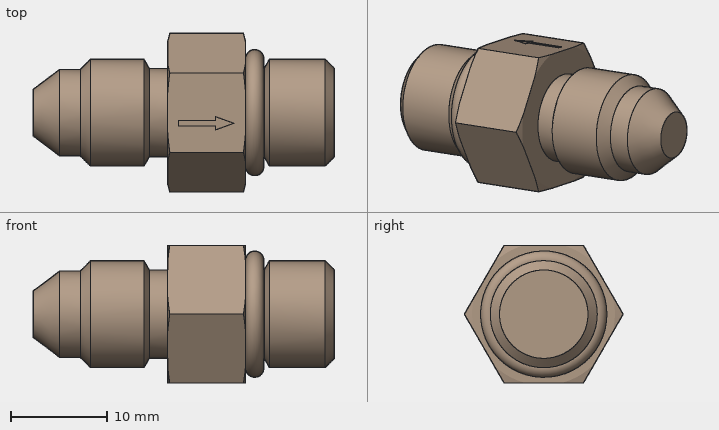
import cadquery as cq
import math


total_length = 31.24
thread_diameter = 11.1
thread_relief_angle = 60

tip_diameter = 4.82
nose_diameter = 8.99
flare_angle = 37
nose_shoulder_x = 4.9
neck_diameter = 9.17
nose_thread_end_x = 11.5

hex_start_x = 13.95
hex_end_x = 22.03
hex_width = 14.27
hex_corner_diameter = hex_width / math.cos(math.radians(30))
hex_face_diameter = 14.8
hex_chamfer_angle = 15

ring_outer_diameter = 13.1
groove_diameter = 9.3
ring_section = (ring_outer_diameter - groove_diameter) / 2

port_thread_start_x = 24.5
port_end_diameter = 9.17

arrow_start_x = hex_start_x + 1.13
arrow_y = -1.1
arrow_shaft_length = 3.85
arrow_shaft_width = 0.56
arrow_head_length = 1.88
arrow_head_width = 1.36
arrow_depth = 0.1


def run_along_axis(large_diameter, small_diameter, angle):
    """Axial length of a cone between two diameters, with its angle to the axis."""
    return (large_diameter - small_diameter) / 2 / math.tan(math.radians(angle))


def make_turned_profile():
    """Solid of revolution without the hexagon."""
    flare_end_x = run_along_axis(nose_diameter, tip_diameter, flare_angle)
    nose_thread_start_x = nose_shoulder_x + (thread_diameter - nose_diameter) / 2
    neck_start_x = nose_thread_end_x + run_along_axis(thread_diameter, neck_diameter, thread_relief_angle)
    groove_end_x = port_thread_start_x - run_along_axis(thread_diameter, groove_diameter, thread_relief_angle)
    port_chamfer = (thread_diameter - port_end_diameter) / 2
    hex_middle_x = (hex_start_x + hex_end_x) / 2

    stations = [
        (0, tip_diameter),
        (flare_end_x, nose_diameter),
        (nose_shoulder_x, nose_diameter),
        (nose_thread_start_x, thread_diameter),
        (nose_thread_end_x, thread_diameter),
        (neck_start_x, neck_diameter),
        (hex_middle_x, neck_diameter),
        (hex_middle_x, groove_diameter),
        (groove_end_x, groove_diameter),
        (port_thread_start_x, thread_diameter),
        (total_length - port_chamfer, thread_diameter),
        (total_length, port_end_diameter),
    ]
    outline = [(x, diameter / 2) for x, diameter in stations]
    axis_ends = [(total_length, 0), (0, 0)]
    return cq.Workplane("XY").polyline(outline + axis_ends).close().revolve(360, (0, 0, 0), (1, 0, 0))


def make_hexagon():
    """Hexagon with flats at top and bottom, its corners turned off at both ends."""
    prism = (
        cq.Workplane("YZ", origin=(hex_start_x, 0, 0))
        .polygon(6, hex_corner_diameter)
        .extrude(hex_end_x - hex_start_x)
    )
    face_radius = hex_face_diameter / 2
    envelope_radius = hex_corner_diameter
    chamfer_run = (envelope_radius - face_radius) * math.tan(math.radians(hex_chamfer_angle))
    envelope = (
        cq.Workplane("XY")
        .polyline([
            (hex_start_x, 0),
            (hex_start_x, face_radius),
            (hex_start_x + chamfer_run, envelope_radius),
            (hex_end_x - chamfer_run, envelope_radius),
            (hex_end_x, face_radius),
            (hex_end_x, 0),
        ])
        .close()
        .revolve(360, (0, 0, 0), (1, 0, 0))
    )
    return prism.intersect(envelope)


def make_arrow():
    """Shallow arrow-shaped cutter pointing along +X, sunk into the top flat."""
    head_x = arrow_shaft_length
    tip_x = arrow_shaft_length + arrow_head_length
    shaft_y = arrow_shaft_width / 2
    head_y = arrow_head_width / 2
    return (
        cq.Workplane("XY", origin=(arrow_start_x, arrow_y, hex_width / 2))
        .polyline([
            (0, -shaft_y),
            (head_x, -shaft_y),
            (head_x, -head_y),
            (tip_x, 0),
            (head_x, head_y),
            (head_x, shaft_y),
            (0, shaft_y),
        ])
        .close()
        .extrude(-arrow_depth)
    )


def make_o_ring():
    """Torus resting on the groove floor and against the hexagon."""
    section_radius = ring_section / 2
    mean_radius = groove_diameter / 2 + section_radius
    return (
        cq.Workplane("XY")
        .center(hex_end_x + section_radius, mean_radius)
        .circle(section_radius)
        .revolve(360, (0, -mean_radius, 0), (1, -mean_radius, 0))
    )


plug_body = make_turned_profile().union(make_hexagon()).cut(make_arrow())
o_ring = make_o_ring()

result = cq.Compound.makeCompound([plug_body.val(), o_ring.val()])